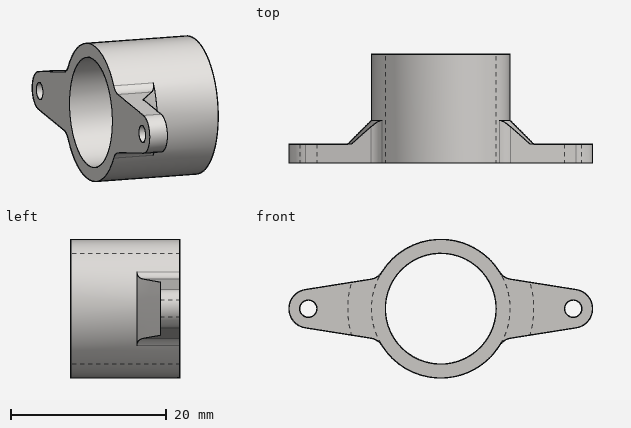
import cadquery as cq
import math

overall_length = 38.98
tube_diameter = 17.8
bore_diameter = 14.2
tube_length = 14.0
hole_diameter = 2.2
ear_end_radius = 2.5
ear_taper_angle = math.radians(9.0)
ear_thickness = 2.45
gusset_height = 5.5
root_fillet_radius = 2.0

tube_radius = tube_diameter / 2
gusset_foot = tube_radius + gusset_height - ear_thickness
hole_x = overall_length / 2 - ear_end_radius
tangent_x = hole_x + ear_end_radius * math.sin(ear_taper_angle)
tangent_z = ear_end_radius * math.cos(ear_taper_angle)
center_z = tangent_z + tangent_x * math.tan(ear_taper_angle)

side_distance = center_z * math.cos(ear_taper_angle)
corner_angle = math.pi / 2 - ear_taper_angle - math.acos(side_distance / tube_radius)
corner_x = tube_radius * math.cos(corner_angle)
corner_z = tube_radius * math.sin(corner_angle)


def cylinder(diameter, length, x=0.0):
    """Cylinder along +Y, starting at Y = 0."""
    plane = cq.Plane(origin=(x, 0, 0), xDir=(1, 0, 0), normal=(0, 1, 0))
    return cq.Workplane(plane).circle(diameter / 2).extrude(length)


def ear_block():
    """Both tapered, round-ended ears, as tall as the gussets."""
    return (
        cq.Workplane("XZ")
        .moveTo(0, center_z)
        .lineTo(tangent_x, tangent_z)
        .threePointArc((overall_length / 2, 0), (tangent_x, -tangent_z))
        .lineTo(0, -center_z)
        .lineTo(-tangent_x, -tangent_z)
        .threePointArc((-overall_length / 2, 0), (-tangent_x, tangent_z))
        .close()
        .extrude(-gusset_height)
    )


def fillet_roots(body):
    """Round the four inside corners between ears and tube."""
    half_box = 0.2
    for side_x in (-1, 1):
        for side_z in (-1, 1):
            x = side_x * corner_x
            z = side_z * corner_z
            corner = cq.selectors.BoxSelector(
                (x - half_box, 0, z - half_box),
                (x + half_box, gusset_height, z + half_box),
            )
            body = body.edges("|Y").edges(corner).fillet(root_fillet_radius)
    return body


def gusset_cut():
    """Space above the ears, outside a cone that rises to the tube wall."""
    return (
        cq.Workplane("XY")
        .polyline([
            (tube_radius, gusset_height),
            (gusset_foot, ear_thickness),
            (overall_length, ear_thickness),
            (overall_length, gusset_height),
        ])
        .close()
        .revolve(360, (0, 0, 0), (0, 1, 0))
    )


flange = fillet_roots(ear_block().union(cylinder(tube_diameter, gusset_height)))
flange = flange.cut(gusset_cut())
for side in (-1, 1):
    flange = flange.cut(cylinder(hole_diameter, ear_thickness, side * hole_x))

tube = cylinder(tube_diameter, tube_length)
result = flange.union(tube).cut(cylinder(bore_diameter, tube_length)).clean()